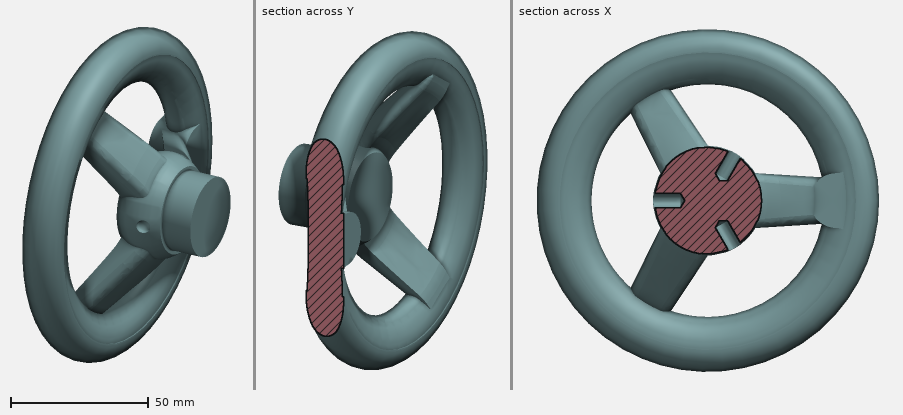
import cadquery as cq
import math


wheel_radius = 62.5
rim_tube_radius = 8.0
rim_center_radius = wheel_radius - rim_tube_radius
rim_bore_radius = 42.4
rim_step_radius = 54.0
rim_inner_recess = 0.5
rim_nose_radius = 44.8
rim_nose_x = 4.0
rim_crown_radius = 49.8
rim_crown_x = 1.2

hub_front_x = 17.0
hub_back_x = 35.2
hub_end_radius = 16.5
hub_belly_radius = 20.0
collar_radius = 15.0
wheel_length = 47.0

screw_hole_diameter = 5.01
screw_hole_x = 29.7
screw_hole_depth = 10.0
drill_point_angle = 118.0

spoke_count = 3
spoke_root_radius = 10.0
spoke_end_radius = 47.8
spoke_root_half_width = 10.5
spoke_end_half_width = 8.1
spoke_back_round = 4.0
spoke_front_round = 3.0
front_rounded_spoke = 1

dish_back_rim = (6.2, 50.0)
dish_back_bend_start = (24.8, 26.7)
dish_back_bend_end = (28.5, 21.7)
dish_back_root = (30.0, 19.3)

dish_front_rim = (0.9, 50.0)
dish_front_bend_start = (2.0, 45.6)
dish_front_bend_end = (3.7, 41.6)
dish_flare_start = (16.8, 22.0)
dish_flare_end = (20.2, 11.0)

pad_center_y = 47.0
pad_radius = 10.0
pad_flare_radius = 5.0
pad_back_x = 15.0


def around_axis(shape, index):
    """Turn a shape about the X axis to the given spoke place."""
    return shape.rotate((0, 0, 0), (1, 0, 0), index * 360.0 / spoke_count)


def revolve_about_x(profile):
    """Revolve an XY profile a full turn about the wheel axis."""
    return profile.revolve(360, (0, 0, 0), (1, 0, 0))


def make_rim():
    """Ring with a round outer half and a fuller inner half, alike front and back."""
    front_x = rim_inner_recess
    middle_x = rim_tube_radius
    back_x = 2 * rim_tube_radius
    profile = (
        cq.Workplane("XY")
        .moveTo(0, rim_center_radius)
        .threePointArc((middle_x, wheel_radius), (back_x, rim_center_radius))
        .lineTo(back_x, rim_step_radius)
        .lineTo(back_x - front_x, rim_step_radius)
        .threePointArc((back_x - rim_crown_x, rim_crown_radius), (back_x - rim_nose_x, rim_nose_radius))
        .threePointArc((middle_x, rim_bore_radius), (rim_nose_x, rim_nose_radius))
        .threePointArc((rim_crown_x, rim_crown_radius), (front_x, rim_step_radius))
        .lineTo(0, rim_step_radius)
        .close()
    )
    return revolve_about_x(profile)


def make_hub():
    """Solid barrel-shaped hub with a cylindrical collar behind it."""
    profile = (
        cq.Workplane("XY")
        .moveTo(hub_front_x, 0)
        .lineTo(hub_front_x, hub_end_radius)
        .threePointArc(((hub_front_x + hub_back_x) / 2, hub_belly_radius), (hub_back_x, hub_end_radius))
        .lineTo(hub_back_x, collar_radius)
        .lineTo(wheel_length, collar_radius)
        .lineTo(wheel_length, 0)
        .close()
    )
    return revolve_about_x(profile)


def long_edge(cone_start, cone_end, side):
    """Selector for the edge where a cone of the dish meets one flank of the spoke."""
    middle_x = (cone_start[0] + cone_end[0]) / 2
    middle_y = (cone_start[1] + cone_end[1]) / 2
    middle_z = side * (spoke_root_half_width + spoke_end_half_width) / 2
    return cq.selectors.NearestToPointSelector((middle_x, middle_y, middle_z))


def make_spoke(front_edge_rounded):
    """Spoke along +Y: a sector of the revolved dish, limited to the tapered outline."""
    back_body = (
        cq.Workplane("XY")
        .moveTo(dish_back_root[0], 0)
        .lineTo(0, 0)
        .lineTo(0, wheel_radius)
        .lineTo(*dish_back_rim)
        .lineTo(*dish_back_bend_start)
        .tangentArcPoint(dish_back_bend_end, relative=False)
        .tangentArcPoint(dish_back_root, relative=False)
        .close()
    )
    front_hollow = (
        cq.Workplane("XY")
        .moveTo(0, wheel_radius)
        .lineTo(*dish_front_rim)
        .lineTo(*dish_front_bend_start)
        .tangentArcPoint(dish_front_bend_end, relative=False)
        .lineTo(*dish_flare_start)
        .tangentArcPoint(dish_flare_end, relative=False)
        .lineTo(dish_flare_end[0], 0)
        .lineTo(0, 0)
        .close()
    )
    outline = (
        cq.Workplane("YZ")
        .moveTo(spoke_root_radius, -spoke_root_half_width)
        .lineTo(spoke_end_radius, -spoke_end_half_width)
        .lineTo(spoke_end_radius, spoke_end_half_width)
        .lineTo(spoke_root_radius, spoke_root_half_width)
        .close()
        .extrude(wheel_length)
    )
    spoke = outline.intersect(revolve_about_x(back_body)).cut(revolve_about_x(front_hollow))
    for side in (-1, 1):
        back_edge = long_edge(dish_back_rim, dish_back_bend_start, side)
        spoke = spoke.edges(back_edge).fillet(spoke_back_round)
    if front_edge_rounded:
        front_edge = long_edge(dish_front_bend_end, dish_flare_start, -1)
        spoke = spoke.edges(front_edge).fillet(spoke_front_round)
    return spoke


def make_grip_pad():
    """Round nose towards the axis, flaring outwards into the rim on both sides."""
    rim_end_y = pad_center_y + pad_flare_radius
    rim_end_z = pad_radius + pad_flare_radius
    flare_mid_y = pad_center_y + pad_flare_radius * math.sqrt(0.5)
    flare_mid_z = rim_end_z - pad_flare_radius * math.sqrt(0.5)
    return (
        cq.Workplane("YZ")
        .moveTo(pad_center_y, -pad_radius)
        .threePointArc((flare_mid_y, -flare_mid_z), (rim_end_y, -rim_end_z))
        .threePointArc((rim_center_radius, 0), (rim_end_y, rim_end_z))
        .threePointArc((flare_mid_y, flare_mid_z), (pad_center_y, pad_radius))
        .threePointArc((pad_center_y - pad_radius, 0), (pad_center_y, -pad_radius))
        .close()
        .extrude(pad_back_x)
    )


def make_screw_hole():
    """Drilled hole along -Y with a conical bottom."""
    hole_radius = screw_hole_diameter / 2
    bottom_y = hub_belly_radius - screw_hole_depth
    point_length = hole_radius / math.tan(math.radians(drill_point_angle / 2))
    return (
        cq.Workplane("XY")
        .moveTo(screw_hole_x, -hub_belly_radius)
        .lineTo(screw_hole_x + hole_radius, -hub_belly_radius)
        .lineTo(screw_hole_x + hole_radius, -bottom_y)
        .lineTo(screw_hole_x, -bottom_y + point_length)
        .close()
        .revolve(360, (screw_hole_x, 0, 0), (screw_hole_x, 1, 0))
    )


result = make_rim().union(make_hub())
for i in range(spoke_count):
    result = result.union(around_axis(make_spoke(i == front_rounded_spoke), i))
result = result.union(make_grip_pad())
for i in range(spoke_count):
    result = result.cut(around_axis(make_screw_hole(), i))